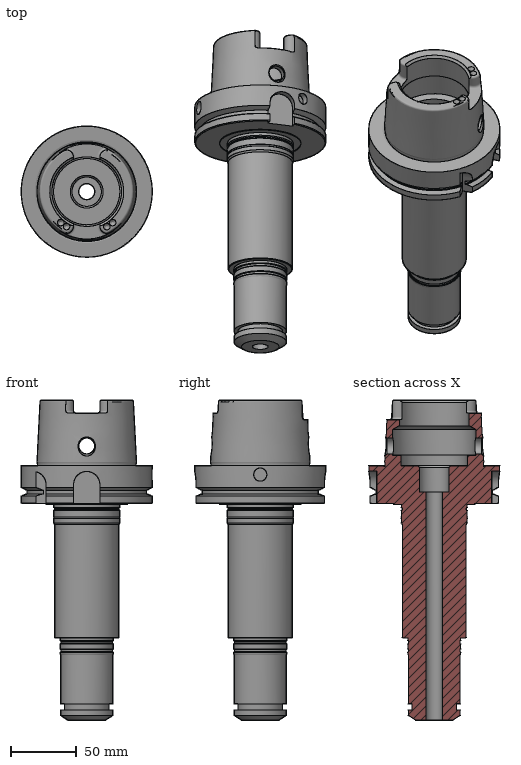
import cadquery as cq
import math

TAPER_TOP = 50.0
TAPER_START = 2.7
FLANGE_BOTTOM = -29.0
SHANK_END = -131.4
TIP_END = -194.0

TAPER_TOP_RADIUS = 35.6
TAPER_BASE_RADIUS = 38.0
NECK_RADIUS = 75.46 / 2
NECK_TOP = 1.5
RELIEF_RADIUS = 39.3
RELIEF_DEPTH = 0.5
RIM_FILLET = 1.5

FLANGE_RADIUS = 50.0
FLANGE_CHAMFER = 0.7
GROOVE_RADIUS = 45.6
GROOVE_TOP = -16.5
GROOVE_STEP_RADIUS = 46.6
GROOVE_STEP = -18.4
GROOVE_FLOOR_TOP = -18.8
GROOVE_FLOOR_BOTTOM = -21.7
GROOVE_BOTTOM = -23.2
BOSS_RADIUS = 31.0
BOSS_HEIGHT = 0.6

COLLAR_RADIUS = 50.5 / 2
COLLAR_BOTTOM = -43.5
COLLAR_CHAMFER_END = -45.0
COLLAR_GROOVES = ((-31.8, -34.2, 0.75), (-39.0, -40.4, 0.1))

SHANK_RADIUS = 49.0 / 2
SHANK_CHAMFER = 0.5
LOWER_COLLAR_RADIUS = 40.5 / 2
LOWER_COLLAR_BOTTOM = -143.5
LOWER_COLLAR_CHAMFER_END = -144.3
LOWER_COLLAR_GROOVES = ((-133.3, -135.8, 0.5), (-139.7, -142.2, 0.5))

TIP_RADIUS = 20.0
TIP_GROOVE_RADIUS = 34.0 / 2
TIP_GROOVE_TOP = -181.5
TIP_GROOVE_BOTTOM = -186.0
TIP_CONE_TOP = -190.3
TIP_END_RADIUS = 14.3

BORE_RADIUS = 53.0 / 2
MOUTH_CHAMFER = 1.7
RECESS_RADIUS = 63.0 / 2
RECESS_EDGE = 30.4
RECESS_CONE_END = 27.5
RECESS_FLOOR = 8.0
INNER_BORE_RADIUS = 50.5 / 2
CAVITY_FLOOR = 0.0
THREAD_RADIUS = 22.38 / 2
THREAD_MOUTH_RADIUS = 25.0 / 2
THREAD_FLOOR = -20.0
COOLANT_RADIUS = 12.0 / 2

SLOT_HALF_WIDTH = 10.0
SLOT_CORNER_RADIUS = 6.0
SLOT_CORNER_Y = 26.0
SLOT_FLOOR_FILLET = 2.0
FRONT_SLOT_FLOOR = 40.0
BACK_SLOT_FLOOR = 35.0

ACCESS_RADIUS = 12.0 / 2
ACCESS_HEIGHT = 15.0
ACCESS_CHAMFER = 1.2

PIT_RADIUS = 5.0 / 2
PIT_DEPTH = 2.5
PIT_CIRCLE_RADIUS = 30.7
PIT_ANGLES = (50.0, 60.0)

POCKET_RADIUS = 10.0
POCKET_ARCH_HEIGHT = -14.4
KEY_POCKET_FLOOR = 44.0
NOTCH_WALL_X = -31.0
NOTCH_FLOOR_Y = -31.6

RIM_HOLES = ((10.0 / 2, 0.0), (8.5 / 2, 110.6))
RIM_HOLE_HEIGHT = -6.8
RIM_HOLE_DEPTH = 5.0

CLEARANCE = 5.0


def revolve_profile(points):
    """Solid of revolution about Z from (radius, z) points."""
    return cq.Workplane("XZ").polyline(points).close().revolve(360, (0, 0, 0), (0, 1, 0))


def ring_groove_points(outer_radius, grooves):
    """Profile points of grooves with 45 degree sides (top, bottom, depth) listed downwards."""
    points = []
    for top, bottom, depth in grooves:
        points += [
            (outer_radius, top),
            (outer_radius - depth, top - depth),
            (outer_radius - depth, bottom + depth),
            (outer_radius, bottom),
        ]
    return points


def make_body():
    """Solid outer shape, traced from the taper rim down to the tip."""
    points = [
        (0, TAPER_TOP),
        (TAPER_TOP_RADIUS, TAPER_TOP),
        (TAPER_BASE_RADIUS, TAPER_START),
        (NECK_RADIUS, NECK_TOP),
        (NECK_RADIUS, -RELIEF_DEPTH),
        (RELIEF_RADIUS, 0),
        (FLANGE_RADIUS, 0),
        (FLANGE_RADIUS, GROOVE_TOP),
        (GROOVE_STEP_RADIUS, GROOVE_STEP),
        (GROOVE_RADIUS, GROOVE_FLOOR_TOP),
        (GROOVE_RADIUS, GROOVE_FLOOR_BOTTOM),
        (GROOVE_STEP_RADIUS, GROOVE_FLOOR_BOTTOM),
        (FLANGE_RADIUS, GROOVE_BOTTOM),
        (FLANGE_RADIUS, FLANGE_BOTTOM + FLANGE_CHAMFER),
        (FLANGE_RADIUS - FLANGE_CHAMFER, FLANGE_BOTTOM),
        (BOSS_RADIUS, FLANGE_BOTTOM),
        (BOSS_RADIUS, FLANGE_BOTTOM - BOSS_HEIGHT),
        (COLLAR_RADIUS, FLANGE_BOTTOM - BOSS_HEIGHT),
    ]
    points += ring_groove_points(COLLAR_RADIUS, COLLAR_GROOVES)
    points += [
        (COLLAR_RADIUS, COLLAR_BOTTOM),
        (SHANK_RADIUS, COLLAR_CHAMFER_END),
        (SHANK_RADIUS, SHANK_END + SHANK_CHAMFER),
        (SHANK_RADIUS - SHANK_CHAMFER, SHANK_END),
        (LOWER_COLLAR_RADIUS, SHANK_END),
    ]
    points += ring_groove_points(LOWER_COLLAR_RADIUS, LOWER_COLLAR_GROOVES)
    points += [
        (LOWER_COLLAR_RADIUS, LOWER_COLLAR_BOTTOM),
        (TIP_RADIUS, LOWER_COLLAR_CHAMFER_END),
        (TIP_RADIUS, TIP_GROOVE_TOP),
        (TIP_GROOVE_RADIUS, TIP_GROOVE_TOP),
        (TIP_GROOVE_RADIUS, TIP_GROOVE_BOTTOM),
        (TIP_RADIUS, TIP_GROOVE_BOTTOM),
        (TIP_RADIUS, TIP_CONE_TOP),
        (TIP_END_RADIUS, TIP_END),
        (0, TIP_END),
    ]
    return revolve_profile(points)


def make_cavity():
    """Clamping bore with its undercut recess, thread seat and through coolant bore."""
    thread_chamfer = THREAD_MOUTH_RADIUS - THREAD_RADIUS
    return revolve_profile([
        (0, TAPER_TOP),
        (BORE_RADIUS, TAPER_TOP),
        (BORE_RADIUS, RECESS_EDGE),
        (RECESS_RADIUS, RECESS_CONE_END),
        (RECESS_RADIUS, RECESS_FLOOR),
        (INNER_BORE_RADIUS, RECESS_FLOOR),
        (INNER_BORE_RADIUS, CAVITY_FLOOR),
        (THREAD_MOUTH_RADIUS, CAVITY_FLOOR),
        (THREAD_RADIUS, CAVITY_FLOOR - thread_chamfer),
        (THREAD_RADIUS, THREAD_FLOOR),
        (COOLANT_RADIUS, THREAD_FLOOR),
        (COOLANT_RADIUS, TIP_END),
        (0, TIP_END),
    ])


def make_mouth_chamfer():
    """45 degree chamfer at the mouth of the clamping bore."""
    return revolve_profile([
        (0, TAPER_TOP),
        (BORE_RADIUS + MOUTH_CHAMFER, TAPER_TOP),
        (BORE_RADIUS, TAPER_TOP - MOUTH_CHAMFER),
        (0, TAPER_TOP - MOUTH_CHAMFER),
    ])


def make_slot(floor, turn):
    """Slot open towards +Y before turning; its sides flare round the arm tips."""
    w = SLOT_HALF_WIDTH
    r = SLOT_CORNER_RADIUS
    y_corner = SLOT_CORNER_Y
    y_outer = TAPER_BASE_RADIUS + CLEARANCE
    mid = r * math.sqrt(0.5)
    slot = (
        cq.Workplane("XY", origin=(0, 0, floor))
        .moveTo(-w, 0)
        .lineTo(w, 0)
        .lineTo(w, y_corner)
        .threePointArc((w + r - mid, y_corner + mid), (w + r, y_corner + r))
        .lineTo(w + r, y_outer)
        .lineTo(-w - r, y_outer)
        .lineTo(-w - r, y_corner + r)
        .threePointArc((-w - r + mid, y_corner + mid), (-w, y_corner))
        .close()
        .extrude(TAPER_TOP + CLEARANCE - floor)
        .faces("<Z").edges().fillet(SLOT_FLOOR_FILLET)
    )
    return slot.rotate((0, 0, 0), (0, 0, 1), turn)


def make_access_holes():
    """Hole along Y through both taper walls, chamfered at each mouth."""
    reach = TAPER_BASE_RADIUS + CLEARANCE
    holes = (
        cq.Workplane("XZ", origin=(0, 0, ACCESS_HEIGHT))
        .circle(ACCESS_RADIUS)
        .extrude(reach, both=True)
    )
    fraction = (ACCESS_HEIGHT - TAPER_START) / (TAPER_TOP - TAPER_START)
    wall = TAPER_BASE_RADIUS + fraction * (TAPER_TOP_RADIUS - TAPER_BASE_RADIUS)
    cone_height = ACCESS_RADIUS + ACCESS_CHAMFER + reach - wall
    for side in (1, -1):
        base = cq.Vector(0, side * reach, ACCESS_HEIGHT)
        cone = cq.Solid.makeCone(cone_height, 0, cone_height, base, cq.Vector(0, -side, 0))
        holes = holes.union(cq.Workplane(cone))
    return holes


def make_pits():
    """Conical pits, a pair on each arm end at the -Y side."""
    pit = revolve_profile([
        (0, TAPER_TOP),
        (PIT_RADIUS, TAPER_TOP),
        (0, TAPER_TOP - PIT_DEPTH),
    ]).translate((PIT_CIRCLE_RADIUS, 0, 0))
    pits = []
    for angle in PIT_ANGLES:
        for turn in (-angle, angle - 180):
            pits.append(pit.rotate((0, 0, 0), (0, 0, 1), turn))
    return pits


def make_arch(center_x, y_start, y_end):
    """Arch-topped prism open at the flange bottom, between two Y positions."""
    drop = POCKET_ARCH_HEIGHT - FLANGE_BOTTOM + BOSS_HEIGHT
    origin = (center_x, y_start, POCKET_ARCH_HEIGHT)
    plane = cq.Plane(origin=origin, xDir=(1, 0, 0), normal=(0, 1, 0))
    return (
        cq.Workplane(plane)
        .moveTo(-POCKET_RADIUS, 0)
        .threePointArc((0, -POCKET_RADIUS), (POCKET_RADIUS, 0))
        .lineTo(POCKET_RADIUS, drop)
        .lineTo(-POCKET_RADIUS, drop)
        .close()
        .extrude(y_end - y_start)
    )


def make_flange_pockets():
    """Front and back key pockets and the corner notch on the -X, -Y side."""
    outside = FLANGE_RADIUS + CLEARANCE
    front = make_arch(0, -outside, -KEY_POCKET_FLOOR)
    back = make_arch(0, KEY_POCKET_FLOOR, outside)
    notch = make_arch(NOTCH_WALL_X - POCKET_RADIUS, -outside, NOTCH_FLOOR_Y)
    return [front, back, notch]


def make_rim_holes():
    """Flat-bottomed holes drilled towards the axis."""
    holes = []
    for radius, angle in RIM_HOLES:
        hole = (
            cq.Workplane("YZ", origin=(FLANGE_RADIUS - RIM_HOLE_DEPTH, 0, RIM_HOLE_HEIGHT))
            .circle(radius)
            .extrude(RIM_HOLE_DEPTH + CLEARANCE)
        )
        holes.append(hole.rotate((0, 0, 0), (0, 0, 1), angle))
    return holes


def make_rim_trim():
    """Slab round both arms that leaves their end edges rounded at the top."""
    slab_size = 2 * FLANGE_RADIUS
    arm_width = 2 * (SLOT_CORNER_Y + SLOT_CORNER_RADIUS)
    arm = (
        cq.Workplane("XY")
        .box(slab_size, arm_width, TAPER_TOP, centered=(False, True, False))
        .edges("|Z and <X").fillet(SLOT_CORNER_RADIUS)
        .faces(">Z").edges().fillet(RIM_FILLET)
        .translate((SLOT_HALF_WIDTH, 0, 0))
    )
    slab = (
        cq.Workplane("XY", origin=(0, 0, TAPER_TOP - RIM_FILLET))
        .rect(slab_size, slab_size)
        .extrude(RIM_FILLET)
    )
    return slab.cut(arm).cut(arm.mirror("YZ"))


def make_taper_and_shank():
    """Outer shape with the rim rounded, the slots cut and the cavity bored."""
    body = make_body().faces(">Z").edges().fillet(RIM_FILLET)
    body = body.cut(make_slot(FRONT_SLOT_FLOOR, 180)).cut(make_slot(BACK_SLOT_FLOOR, 0))
    return body.cut(make_rim_trim()).cut(make_cavity()).cut(make_mouth_chamfer())


result = make_taper_and_shank()
cutters = [make_access_holes()] + make_rim_holes() + make_pits() + make_flange_pockets()
for cutter in cutters:
    result = result.cut(cutter)